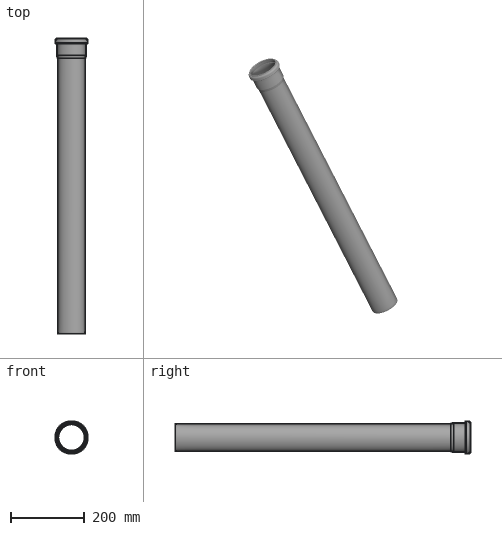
import cadquery as cq
import math

TOTAL_LENGTH = 805.0
BARREL_OUTER_R = 75.3 / 2
BARREL_BORE_R = 70.9 / 2

SOCKET_OUTER_R = 80.3 / 2
SOCKET_BORE_R = 76.3 / 2
SOCKET_DEPTH = 47.5
TAPER_LENGTH = 8.0

BEAD_OUTER_R = 89.2 / 2
BEAD_GROOVE_R = 85.2 / 2
BEAD_LENGTH = 15.3
BEAD_BACK_ROUND = 2.0
LIP_LENGTH = 2.4
MOUTH_OUTER_R = 80.0 / 2
MOUTH_BORE_R = 76.0 / 2
BEAD_FRONT_ROUND = BEAD_OUTER_R - MOUTH_OUTER_R

SPIGOT_CHAMFER_LENGTH = 3.5
SPIGOT_CHAMFER_DEPTH = 1.0

PLAIN_END_Y = -TOTAL_LENGTH / 2
MOUTH_Y = TOTAL_LENGTH / 2
LIP_END_Y = MOUTH_Y - LIP_LENGTH
FRONT_ROUND_Y = LIP_END_Y - BEAD_FRONT_ROUND
BEAD_BACK_Y = MOUTH_Y - BEAD_LENGTH
TAPER_START_Y = MOUTH_Y - SOCKET_DEPTH
TAPER_END_Y = TAPER_START_Y - TAPER_LENGTH

WALL = BEAD_OUTER_R - BEAD_GROOVE_R
DIAGONAL = math.sqrt(0.5)
FRONT_MID = BEAD_FRONT_ROUND * DIAGONAL


def outer_body():
    """Solid of revolution bounded by the outside of the pipe."""
    back_center_r = BEAD_OUTER_R - BEAD_BACK_ROUND
    back_center_y = BEAD_BACK_Y + BEAD_BACK_ROUND
    back_mid = BEAD_BACK_ROUND * DIAGONAL
    profile = (
        cq.Workplane("XY")
        .moveTo(0, PLAIN_END_Y)
        .lineTo(BARREL_OUTER_R - SPIGOT_CHAMFER_DEPTH, PLAIN_END_Y)
        .lineTo(BARREL_OUTER_R, PLAIN_END_Y + SPIGOT_CHAMFER_LENGTH)
        .lineTo(BARREL_OUTER_R, TAPER_END_Y)
        .lineTo(SOCKET_OUTER_R, TAPER_START_Y)
        .lineTo(SOCKET_OUTER_R, BEAD_BACK_Y)
        .lineTo(back_center_r, BEAD_BACK_Y)
        .threePointArc(
            (back_center_r + back_mid, back_center_y - back_mid),
            (BEAD_OUTER_R, back_center_y),
        )
        .lineTo(BEAD_OUTER_R, FRONT_ROUND_Y)
        .threePointArc(
            (MOUTH_OUTER_R + FRONT_MID, FRONT_ROUND_Y + FRONT_MID),
            (MOUTH_OUTER_R, LIP_END_Y),
        )
        .lineTo(MOUTH_OUTER_R, MOUTH_Y)
        .lineTo(0, MOUTH_Y)
        .close()
    )
    return profile.revolve(360, (0, 0, 0), (0, 1, 0))


def inner_bore():
    """Through bore with the socket recess and the sealing-ring groove."""
    groove_back_y = BEAD_BACK_Y + WALL
    profile = (
        cq.Workplane("XY")
        .moveTo(0, PLAIN_END_Y)
        .lineTo(BARREL_BORE_R, PLAIN_END_Y)
        .lineTo(BARREL_BORE_R, TAPER_END_Y)
        .lineTo(SOCKET_BORE_R, TAPER_START_Y)
        .lineTo(SOCKET_BORE_R, groove_back_y)
        .lineTo(BEAD_GROOVE_R, groove_back_y)
        .lineTo(BEAD_GROOVE_R, FRONT_ROUND_Y)
        .threePointArc(
            (MOUTH_BORE_R + FRONT_MID, FRONT_ROUND_Y + FRONT_MID),
            (MOUTH_BORE_R, LIP_END_Y),
        )
        .lineTo(MOUTH_BORE_R, MOUTH_Y)
        .lineTo(0, MOUTH_Y)
        .close()
    )
    return profile.revolve(360, (0, 0, 0), (0, 1, 0))


result = outer_body().cut(inner_bore())